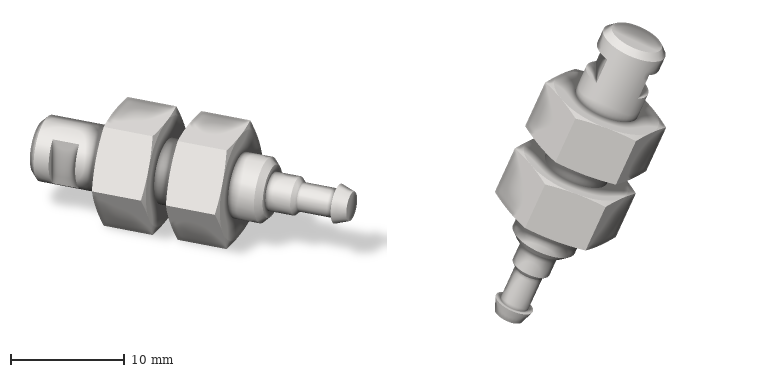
import cadquery as cq
import math

total_length = 29.5

body_diameter = 6.0
body_length = 22.0
body_chamfer = 0.6

flat_start = 2.0
flat_length = 2.5
width_across_flats = 4.0

nut_across_flats = 10.0
nut_thickness = 5.0
nut_starts = (7.0, 13.98)
nut_chamfer_length = 0.18
hexagon_sides = 6

shoulder_diameter = 3.55
shoulder_end = 24.8
neck_diameter = 2.65
barb_start = 28.2
barb_diameter = 3.6
tip_diameter = 2.65


def make_shaft():
    """Revolve the stepped profile around the X axis."""
    body_radius = body_diameter / 2
    shoulder_radius = shoulder_diameter / 2
    neck_radius = neck_diameter / 2
    shoulder_chamfer = shoulder_radius - neck_radius
    profile = [
        (0, 0),
        (0, body_radius - body_chamfer),
        (body_chamfer, body_radius),
        (body_length - body_chamfer, body_radius),
        (body_length, body_radius - body_chamfer),
        (body_length, shoulder_radius),
        (shoulder_end - shoulder_chamfer, shoulder_radius),
        (shoulder_end, neck_radius),
        (barb_start, neck_radius),
        (barb_start, barb_diameter / 2),
        (total_length, tip_diameter / 2),
        (total_length, 0),
    ]
    return cq.Workplane("XY").polyline(profile).close().revolve(360, (0, 0, 0), (1, 0, 0))


def cut_wrench_flats(shaft):
    """Cut two parallel flats facing -Y and +Y."""
    cut_depth = (body_diameter - width_across_flats) / 2
    for side in (-1, 1):
        cutter = cq.Workplane("XY").box(flat_length, cut_depth, body_diameter).translate(
            (flat_start + flat_length / 2, side * (width_across_flats + cut_depth) / 2, 0)
        )
        shaft = shaft.cut(cutter)
    return shaft


def make_nut(start):
    """Hexagon with corners on the Y axis, its corners chamfered conically at both ends."""
    across_corners = nut_across_flats / math.cos(math.pi / hexagon_sides)
    corner_radius = across_corners / 2
    face_radius = nut_across_flats / 2
    end = start + nut_thickness
    hexagon = (
        cq.Workplane("YZ", origin=(start, 0, 0))
        .polygon(hexagon_sides, across_corners)
        .extrude(nut_thickness)
    )
    envelope = (
        cq.Workplane("XY")
        .polyline([
            (start, 0),
            (start, face_radius),
            (start + nut_chamfer_length, corner_radius),
            (end - nut_chamfer_length, corner_radius),
            (end, face_radius),
            (end, 0),
        ])
        .close()
        .revolve(360, (0, 0, 0), (1, 0, 0))
    )
    return hexagon.intersect(envelope)


result = cut_wrench_flats(make_shaft())
for nut_start in nut_starts:
    result = result.union(make_nut(nut_start))